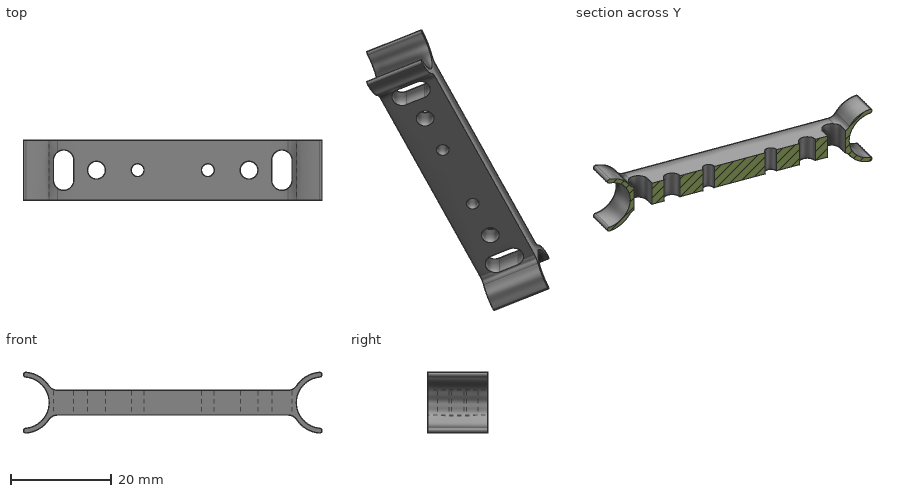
import cadquery as cq
import math

length = 59.5
width = 12.0
bar_thickness = 5.0

cradle_radius = 5.1
cradle_wall = 1.0
root_fillet = 2.0

slot_width = 4.0
slot_length = 8.0
slot_spacing = 43.5
large_hole_diameter = 3.5
large_hole_spacing = 30.4
small_hole_diameter = 2.5
small_hole_spacing = 14.0

half_length = length / 2
half_bar = bar_thickness / 2
outer_radius = cradle_radius + cradle_wall
tip_radius = cradle_wall / 2
middle_radius = cradle_radius + tip_radius
tip_angle = math.acos(tip_radius / middle_radius)
root_angle = math.asin((half_bar + root_fillet) / (outer_radius + root_fillet))
root_end_x = (outer_radius + root_fillet) * math.cos(root_angle)


def from_cradle_axis(radius, angle):
    """Point at a polar position about the axis of the left cradle."""
    return (-half_length + radius * math.cos(angle), radius * math.sin(angle))


def quarter_body():
    """Upper left quarter of the bar and cradle, across the full width."""
    fillet_center = (-half_length + root_end_x, half_bar + root_fillet)
    fillet_middle_angle = (root_angle + math.pi + 1.5 * math.pi) / 2
    fillet_middle = (
        fillet_center[0] + root_fillet * math.cos(fillet_middle_angle),
        fillet_center[1] + root_fillet * math.sin(fillet_middle_angle),
    )
    tip_center = from_cradle_axis(middle_radius, tip_angle)
    tip_middle = (
        tip_center[0] - tip_radius * math.sin(tip_angle),
        tip_center[1] + tip_radius * math.cos(tip_angle),
    )
    return (
        cq.Workplane("XZ")
        .moveTo(0, 0)
        .lineTo(0, half_bar)
        .lineTo(fillet_center[0], half_bar)
        .threePointArc(fillet_middle, from_cradle_axis(outer_radius, root_angle))
        .threePointArc(
            from_cradle_axis(outer_radius, (root_angle + tip_angle) / 2),
            from_cradle_axis(outer_radius, tip_angle),
        )
        .threePointArc(tip_middle, from_cradle_axis(cradle_radius, tip_angle))
        .threePointArc(
            from_cradle_axis(cradle_radius, tip_angle / 2),
            from_cradle_axis(cradle_radius, 0),
        )
        .close()
        .extrude(width / 2, both=True)
    )


def full_body():
    """The quarter mirrored to the lower half and then to the right end."""
    upper_left = quarter_body()
    left = upper_left.union(upper_left.mirror("XY"))
    return left.union(left.mirror("YZ")).clean()


def place_pair(spacing):
    """Two points on the bar centreline, equally far from the middle."""
    return cq.Workplane("XY").pushPoints([(-spacing / 2, 0), (spacing / 2, 0)])


def hole_pair(diameter, spacing):
    """Cutters for two round holes through the bar."""
    return place_pair(spacing).circle(diameter / 2).extrude(outer_radius, both=True)


def slot_pair():
    """Cutters for the two slots running across the bar beside the cradles."""
    return place_pair(slot_spacing).slot2D(slot_length, slot_width, 90).extrude(outer_radius, both=True)


result = (
    full_body()
    .cut(slot_pair())
    .cut(hole_pair(large_hole_diameter, large_hole_spacing))
    .cut(hole_pair(small_hole_diameter, small_hole_spacing))
)